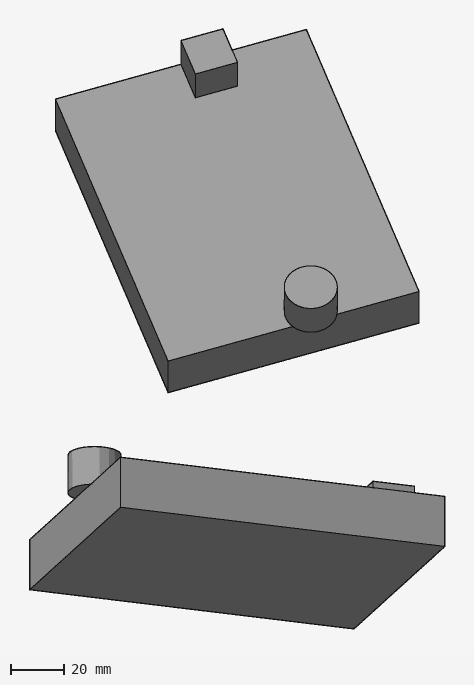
import cadquery as cq

plate_length = 130.0
plate_width = 100.0
plate_thickness = 20.0

boss_height = 15.0

block_length = 16.67
block_width = 16.8

pin_diameter = 20.0
pin_overhang = 5.29
pin_center_y = 8.46

block_center_x = (block_length - plate_length) / 2
block_center_y = block_width / 2
pin_center_x = plate_length / 2 + pin_overhang - pin_diameter / 2


def make_plate():
    """Rectangular base plate."""
    return cq.Workplane("XY").rect(plate_length, plate_width).extrude(plate_thickness)


def make_block():
    """Rectangular block standing on the left edge of the plate."""
    return (
        cq.Workplane("XY", origin=(block_center_x, block_center_y, plate_thickness))
        .rect(block_length, block_width)
        .extrude(boss_height)
    )


def make_pin():
    """Round pin standing across the right edge of the plate."""
    return (
        cq.Workplane("XY", origin=(pin_center_x, pin_center_y, plate_thickness))
        .circle(pin_diameter / 2)
        .extrude(boss_height)
    )


result = make_plate().union(make_block()).union(make_pin())